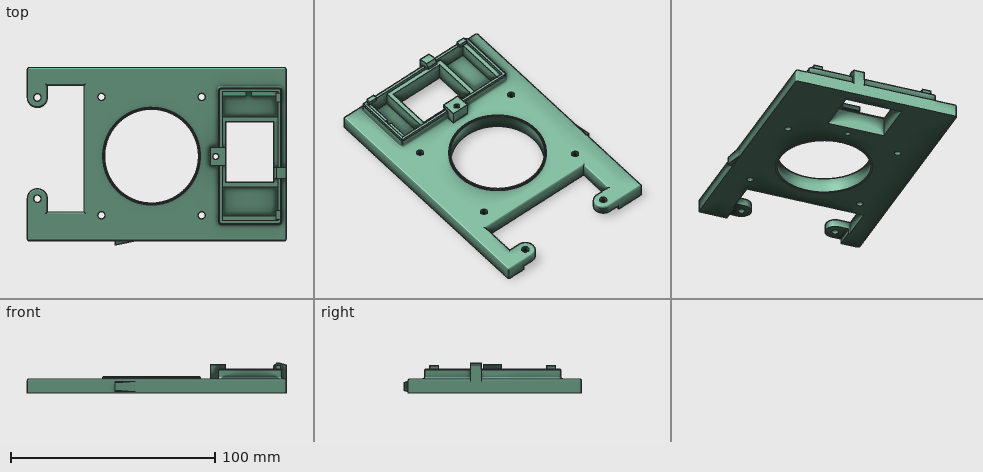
import cadquery as cq
plate_length = 126.9
plate_width = 85.0
plate_height = 7.0
edge_round = 1.0

ear_radius = 5.0
ear_hole_diameter = 3.5
ear_x = ear_radius - plate_length / 2
ear_inner_x = ear_x + ear_radius
ear_y_back = 27.8
ear_y_front = -21.8
ear_underside = 2.5
notch_x = -35.7
notch_y_back = 33.6
notch_y_front = -28.3
ear_relief_inset = 0.8

center_x = -2.5
center_y = -0.95
bore_diameter = 46.0
collar_diameter = 48.0
collar_rise = 1.0
collar_chamfer = 0.4
screw_hole_diameter = 3.4
screw_spacing_x = 49.1
screw_spacing_y = 58.0

tray_x_min = 30.3
tray_x_max = 61.2
tray_width = 66.9
tray_top = 11.7
tray_wall = 1.8
tray_corner_radius = 1.3
tray_foot_round = 0.99
rim_chamfer = 0.5
tray_floor = 2.5
tray_length = tray_x_max - tray_x_min
tray_x = (tray_x_min + tray_x_max) / 2
pocket_x_min = tray_x_min + tray_wall
pocket_x_max = tray_x_max - tray_wall
pocket_y_min = center_y - tray_width / 2 + tray_wall
pocket_y_max = center_y + tray_width / 2 - tray_wall

window_x_min = 33.9
window_x_max = 57.2
window_y_min = -13.7
window_y_max = 15.9
frame_wall = 2.3
frame_top = 9.9

ledge_depth = 2.3
ledge_top = frame_top
ledge_gap_start = 43.8
ledge_gap_end = 46.3

post_x_min = 26.3
post_x_max = 33.6
post_y_min = -5.6
post_y_max = 3.3
post_top = 14.0
post_wall_overlap = 0.6
post_hole_diameter = 2.8
post_hole_x = 28.9
post_hole_y = (post_y_min + post_y_max) / 2

hook_y_min = -11.9
hook_y_max = -6.5
hook_top = 14.6
hook_shoulder = 13.7
hook_crest_start = 58.8
hook_crest_end = 60.3
hook_nose_height = 13.2
hook_root = 0.6
arm_overlap = 0.1
latch_width = 4.5
latch_top = 13.5
latch_overhang = 1.0
latch_y_back = 27.7
latch_y_front = -29.7

wedge_x_min = -20.4
wedge_tip_x = -19.7
wedge_x_max = -10.7
wedge_reach = 1.9
wedge_z_min = 0.6
wedge_z_max = 5.7
wedge_taper = 0.6

cut_height = 2 * hook_top
select_margin = 0.1


def box(x_min, x_max, y_min, y_max, z_min, z_max):
    """Axis-aligned block between the given limits."""
    return cq.Workplane("XY", origin=(x_min, y_min, z_min)).box(
        x_max - x_min, y_max - y_min, z_max - z_min, centered=False
    )


def drill(points, diameter):
    """Vertical cylinders that pass through the whole part."""
    return cq.Workplane("XY").pushPoints(points).circle(diameter / 2).extrude(cut_height)


def make_plate():
    """Rounded plate with the notch, the two hinge ears and the relief under them."""
    half_length = plate_length / 2
    half_width = plate_width / 2
    plate = (
        cq.Workplane("XY")
        .moveTo(-half_length, -half_width)
        .lineTo(half_length, -half_width)
        .lineTo(half_length, half_width)
        .lineTo(-half_length, half_width)
        .lineTo(-half_length, ear_y_back)
        .threePointArc((ear_x, ear_y_back - ear_radius), (ear_inner_x, ear_y_back))
        .lineTo(ear_inner_x, notch_y_back)
        .lineTo(notch_x, notch_y_back)
        .lineTo(notch_x, notch_y_front)
        .lineTo(ear_inner_x, notch_y_front)
        .lineTo(ear_inner_x, ear_y_front)
        .threePointArc((ear_x, ear_y_front + ear_radius), (-half_length, ear_y_front))
        .close()
        .extrude(plate_height)
    )
    for side in ("<Y", ">Y"):
        plate = plate.edges("|Z").edges(side).fillet(edge_round)
    plate = plate.faces(">Z").edges().fillet(edge_round)
    relief = box(
        -half_length, ear_inner_x,
        notch_y_front + ear_relief_inset, notch_y_back - ear_relief_inset,
        0, ear_underside,
    )
    return plate.cut(relief)


def add_tray_block(body):
    """Solid block of the tray, blended into the plate at its foot."""
    block = (
        cq.Workplane("XY", origin=(tray_x, center_y, 0))
        .rect(tray_length, tray_width)
        .extrude(tray_top)
        .edges("|Z").fillet(tray_corner_radius)
        .faces(">Z").edges().chamfer(rim_chamfer)
    )
    foot = cq.selectors.BoxSelector(
        (tray_x_min - select_margin, center_y - tray_width / 2 - select_margin, plate_height - select_margin),
        (tray_x_max + select_margin, center_y + tray_width / 2 + select_margin, plate_height + select_margin),
    )
    return body.union(block).edges(foot).fillet(tray_foot_round)


def hollow_tray(body):
    """Pocket of the tray with its window frame and the ledges along both end walls."""
    body = body.cut(box(pocket_x_min, pocket_x_max, pocket_y_min, pocket_y_max, tray_floor, tray_top))
    frame = box(
        pocket_x_min, pocket_x_max,
        window_y_min - frame_wall, window_y_max + frame_wall,
        tray_floor, frame_top,
    )
    body = body.union(frame)
    body = body.cut(box(window_x_min, window_x_max, window_y_min, window_y_max, 0, tray_top))
    back_ledge_y = pocket_y_max - ledge_depth
    front_ledge_y = pocket_y_min + ledge_depth
    for x_min, x_max, y_min, y_max in (
        (pocket_x_min, ledge_gap_start, back_ledge_y, pocket_y_max),
        (ledge_gap_end, pocket_x_max, back_ledge_y, pocket_y_max),
        (pocket_x_min, pocket_x_max, pocket_y_min, front_ledge_y),
    ):
        body = body.union(box(x_min, x_max, y_min, y_max, tray_floor, ledge_top))
    return body


def make_post():
    """Screw post outside the tray wall, with a lip that reaches over the rim."""
    column = box(post_x_min, tray_x_min + post_wall_overlap, post_y_min, post_y_max, 0, post_top)
    lip = box(post_x_min, post_x_max, post_y_min, post_y_max, tray_top, post_top)
    return column.union(lip)


def make_hook():
    """Arm flush with the +X side of the plate, with a nose over the tray rim."""
    outer_x = plate_length / 2
    arm = box(tray_x_max - arm_overlap, outer_x, hook_y_min, hook_y_max, 0, hook_shoulder)
    nose = (
        cq.Workplane("XZ", origin=(0, hook_y_max, 0))
        .polyline([
            (outer_x, tray_top - hook_root),
            (outer_x, hook_shoulder),
            (hook_crest_end, hook_top),
            (hook_crest_start, hook_top),
            (window_x_max, hook_nose_height),
            (window_x_max, tray_top),
            (pocket_x_max, tray_top),
            (pocket_x_max, tray_top - hook_root),
        ])
        .close()
        .extrude(hook_y_max - hook_y_min)
    )
    return arm.union(nose)


def make_latch(y):
    """Small latch on the +X rim of the tray, overhanging the pocket."""
    return box(
        pocket_x_max - latch_overhang, tray_x_max - rim_chamfer,
        y - latch_width / 2, y + latch_width / 2,
        tray_top, latch_top,
    )


def make_wedge():
    """Ramp on the -Y side whose height tapers toward its tip."""
    side_y = -plate_width / 2
    tip_y = side_y - wedge_reach
    ramp = (
        cq.Workplane("XY")
        .polyline([(wedge_x_min, side_y), (wedge_x_min, tip_y), (wedge_tip_x, tip_y), (wedge_x_max, side_y)])
        .close()
        .extrude(plate_height)
    )
    taper = (
        cq.Workplane("YZ", origin=(wedge_x_min, 0, 0))
        .polyline([
            (side_y, wedge_z_min),
            (side_y, wedge_z_max),
            (tip_y, wedge_z_max - wedge_taper),
            (tip_y, wedge_z_min + wedge_taper),
        ])
        .close()
        .extrude(wedge_x_max - wedge_x_min)
    )
    return ramp.intersect(taper)


def make_housing():
    """Plate with tray, post, hook, latches and wedge, bored for the collar and screws."""
    body = hollow_tray(add_tray_block(make_plate()))
    body = body.union(make_post()).union(make_hook()).union(make_wedge())
    for y in (latch_y_back, latch_y_front):
        body = body.union(make_latch(y))
    screw_points = [
        (center_x + x_side * screw_spacing_x / 2, center_y + y_side * screw_spacing_y / 2)
        for x_side in (-1, 1)
        for y_side in (-1, 1)
    ]
    body = body.cut(drill([(center_x, center_y)], collar_diameter))
    body = body.cut(drill(screw_points, screw_hole_diameter))
    body = body.cut(drill([(ear_x, ear_y_back), (ear_x, ear_y_front)], ear_hole_diameter))
    return body.cut(drill([(post_hole_x, post_hole_y)], post_hole_diameter))


def make_collar():
    """Sleeve that lines the round opening and stands proud of the plate."""
    return (
        cq.Workplane("XY", origin=(center_x, center_y, 0))
        .circle(collar_diameter / 2)
        .circle(bore_diameter / 2)
        .extrude(plate_height + collar_rise)
        .faces(">Z").edges().chamfer(collar_chamfer)
    )


housing = make_housing()
collar = make_collar()
result = cq.Compound.makeCompound([housing.val(), collar.val()])